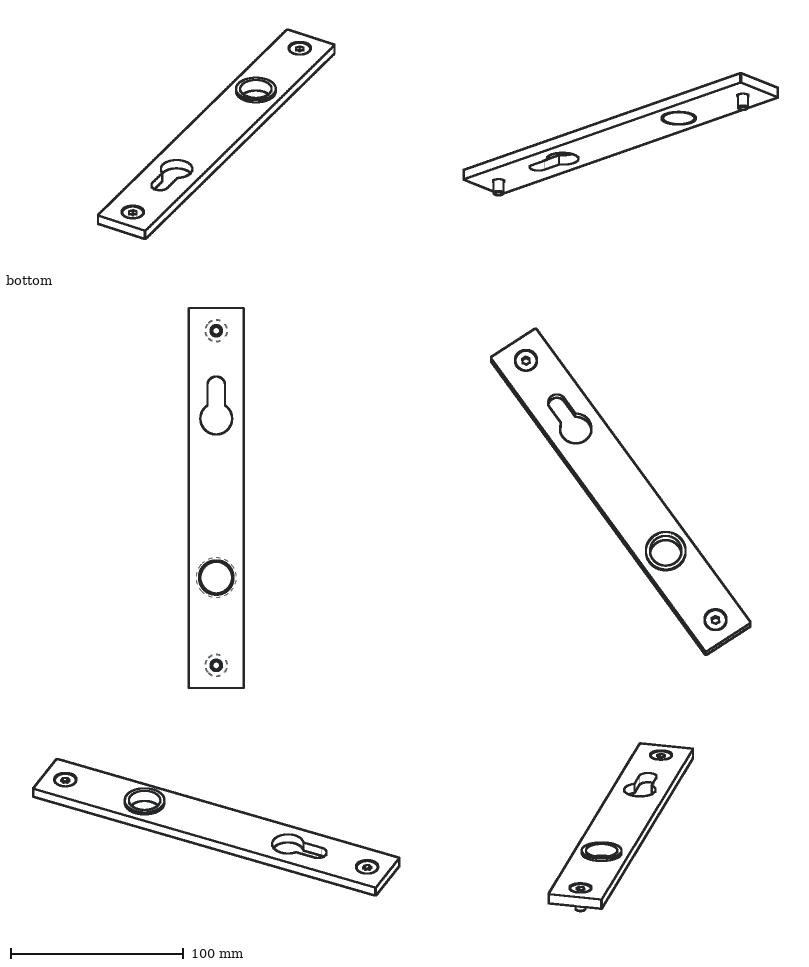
import cadquery as cq
import math

PLATE_LENGTH = 220.0
PLATE_WIDTH = 32.0
PLATE_THICKNESS = 6.0
PLATE_CORNER_CHAMFER = 0.5

LOCK_SPACING = 92.0
BUSHING_Y = LOCK_SPACING / 2
CYLINDER_Y = -LOCK_SPACING / 2

TOTAL_HEIGHT = 15.5
BUSHING_BORE = 18.3
BUSHING_SLEEVE = 20.0
BUSHING_FLANGE = 23.0

CYLINDER_DIAMETER = 18.3
CYLINDER_SLOT_WIDTH = 10.1
CYLINDER_CUTOUT_LENGTH = 33.5

SCREW_SPACING = 193.5
SCREW_SHANK = 6.0
SCREW_HEAD = 12.0
SCREW_PROJECTION = 8.0
SCREW_TIP_CHAMFER = 0.7
COUNTERSINK = 13.0
CLEARANCE_HOLE = 6.5
COUNTERSINK_ANGLE = 90
SOCKET_ACROSS_FLATS = 4.2
SOCKET_DEPTH = 2.2
SOCKET_POINT_DEPTH = 1.0

FLANGE_THICKNESS = TOTAL_HEIGHT - SCREW_PROJECTION - PLATE_THICKNESS
SCREW_POSITIONS = [(0, SCREW_SPACING / 2), (0, -SCREW_SPACING / 2)]


def cylinder(diameter, bottom, top):
    """Upright cylinder on the Z axis between two heights."""
    return cq.Workplane("XY").workplane(offset=bottom).circle(diameter / 2).extrude(top - bottom)


def cylinder_cutout():
    """Keyhole-shaped cutter for the lock cylinder."""
    slot_end_y = (
        CYLINDER_Y + CYLINDER_DIAMETER / 2 - CYLINDER_CUTOUT_LENGTH + CYLINDER_SLOT_WIDTH / 2
    )
    slot_length = CYLINDER_Y - slot_end_y
    barrel = cylinder(CYLINDER_DIAMETER, 0, PLATE_THICKNESS).translate((0, CYLINDER_Y, 0))
    slot = (
        cq.Workplane("XY")
        .center(0, (CYLINDER_Y + slot_end_y) / 2)
        .slot2D(slot_length + CYLINDER_SLOT_WIDTH, CYLINDER_SLOT_WIDTH, 90)
        .extrude(PLATE_THICKNESS)
    )
    return barrel.union(slot)


def make_plate():
    """Flat plate with the bushing hole, the cylinder cutout and two countersunk screw holes."""
    plate = cq.Workplane("XY").box(
        PLATE_WIDTH, PLATE_LENGTH, PLATE_THICKNESS, centered=(True, True, False)
    )
    plate = plate.edges("|Z").chamfer(PLATE_CORNER_CHAMFER)
    plate = plate.cut(cylinder(BUSHING_SLEEVE, 0, PLATE_THICKNESS).translate((0, BUSHING_Y, 0)))
    plate = plate.cut(cylinder_cutout())
    return (
        plate.faces(">Z")
        .workplane(origin=(0, 0, PLATE_THICKNESS))
        .pushPoints(SCREW_POSITIONS)
        .cskHole(CLEARANCE_HOLE, COUNTERSINK, COUNTERSINK_ANGLE)
    )


def make_bushing():
    """Sleeve through the plate with a thin flange resting on top."""
    flange_top = PLATE_THICKNESS + FLANGE_THICKNESS
    sleeve = cylinder(BUSHING_SLEEVE, 0, PLATE_THICKNESS)
    flange = cylinder(BUSHING_FLANGE, PLATE_THICKNESS, flange_top)
    bore = cylinder(BUSHING_BORE, 0, flange_top)
    return sleeve.union(flange).cut(bore).translate((0, BUSHING_Y, 0))


def hexagon_socket(head_top):
    """Hexagonal cutter, corners along X, ending in a cone as wide as the corners."""
    across_corners = SOCKET_ACROSS_FLATS / math.cos(math.pi / 6)
    floor = head_top - SOCKET_DEPTH
    point = floor - SOCKET_POINT_DEPTH
    hexagon = (
        cq.Workplane("XY")
        .workplane(offset=point)
        .polygon(6, across_corners)
        .extrude(head_top - point)
    )
    pointed_envelope = (
        cq.Workplane("XZ")
        .moveTo(0, point)
        .lineTo(across_corners / 2, floor)
        .lineTo(across_corners / 2, head_top)
        .lineTo(0, head_top)
        .close()
        .revolve(360, (0, 0), (0, 1))
    )
    return hexagon.intersect(pointed_envelope)


def make_screw(x, y):
    """Countersunk screw with a drilled hexagon socket in its head and a chamfered tip."""
    head_radius = SCREW_HEAD / 2
    shank_radius = SCREW_SHANK / 2
    head_top = PLATE_THICKNESS - (COUNTERSINK - SCREW_HEAD) / 2
    head_bottom = head_top - (head_radius - shank_radius)
    screw = (
        cq.Workplane("XZ")
        .moveTo(0, -SCREW_PROJECTION)
        .lineTo(shank_radius - SCREW_TIP_CHAMFER, -SCREW_PROJECTION)
        .lineTo(shank_radius, SCREW_TIP_CHAMFER - SCREW_PROJECTION)
        .lineTo(shank_radius, head_bottom)
        .lineTo(head_radius, head_top)
        .lineTo(0, head_top)
        .close()
        .revolve(360, (0, 0), (0, 1))
    )
    return screw.cut(hexagon_socket(head_top)).translate((x, y, 0))


plate = make_plate()
bushing = make_bushing()
screws = [make_screw(x, y) for x, y in SCREW_POSITIONS]

result = cq.Compound.makeCompound([plate.val(), bushing.val(), *[screw.val() for screw in screws]])